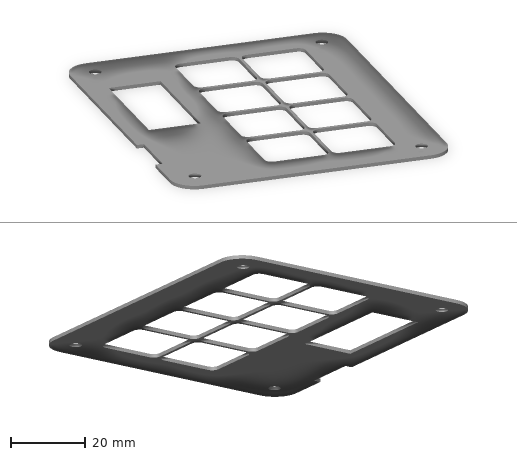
import cadquery as cq

plate_length = 94.0
plate_width = 79.0
plate_thickness = 1.0
corner_radius = 7.0

hole_diameter = 3.4
hole_spacing_x = 80.0
hole_spacing_y = 64.7
hole_left_margin = 6.8
hole_front_margin = 7.2

key_columns = 4
key_rows = 2
key_pitch = 19.05
key_opening = 18.15
key_corner_radius = 2.0
key_left_margin = 8.8
key_back_margin = 13.1

window_length = 32.3
window_width = 14.8
window_left_margin = 19.0
window_front_margin = 6.7

notch_length = 15.0
notch_depth = 2.0
notch_left_margin = 60.5

left_edge = -plate_length / 2
front_edge = -plate_width / 2
back_edge = plate_width / 2


def full_depth_block(length, width, center_x, center_y):
    """Block as thick as the plate, centred on the given point."""
    return (
        cq.Workplane("XY")
        .center(center_x, center_y)
        .rect(length, width)
        .extrude(plate_thickness)
    )


def make_plate():
    """Flat plate with rounded vertical corners."""
    return full_depth_block(plate_length, plate_width, 0, 0).edges("|Z").fillet(corner_radius)


def cut_mounting_holes(plate):
    """Through hole near each corner of the plate."""
    center_x = left_edge + hole_left_margin + hole_spacing_x / 2
    center_y = front_edge + hole_front_margin + hole_spacing_y / 2
    holes = (
        cq.Workplane("XY")
        .center(center_x, center_y)
        .rect(hole_spacing_x, hole_spacing_y, forConstruction=True)
        .vertices()
        .circle(hole_diameter / 2)
        .extrude(plate_thickness)
    )
    return plate.cut(holes)


def cut_key_openings(plate):
    """Grid of square openings with rounded corners."""
    first_x = left_edge + key_left_margin + key_opening / 2
    first_y = back_edge - key_back_margin - key_opening / 2
    for column in range(key_columns):
        for row in range(key_rows):
            center_x = first_x + column * key_pitch
            center_y = first_y - row * key_pitch
            opening = full_depth_block(key_opening, key_opening, center_x, center_y)
            plate = plate.cut(opening.edges("|Z").fillet(key_corner_radius))
    return plate


def cut_display_window(plate):
    """Rectangular window with sharp corners."""
    center_x = left_edge + window_left_margin + window_length / 2
    center_y = front_edge + window_front_margin + window_width / 2
    return plate.cut(full_depth_block(window_length, window_width, center_x, center_y))


def cut_connector_notch(plate):
    """Shallow notch open to the front edge."""
    center_x = left_edge + notch_left_margin + notch_length / 2
    center_y = front_edge + notch_depth / 2
    return plate.cut(full_depth_block(notch_length, notch_depth, center_x, center_y))


result = make_plate()
result = cut_mounting_holes(result)
result = cut_key_openings(result)
result = cut_display_window(result)
result = cut_connector_notch(result)